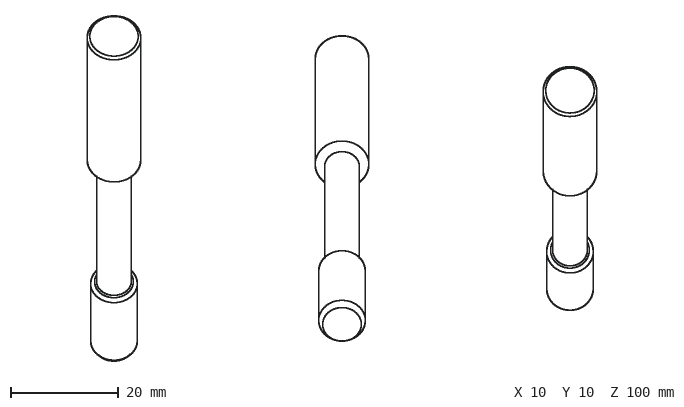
import cadquery as cq

total_length = 100.0
handle_length = 40.0
sleeve_length = 20.0

handle_radius = 5.0
shank_radius = 3.25
core_radius = 3.6
sleeve_diameter = 8.7
sleeve_radius = sleeve_diameter / 2

handle_top_chamfer = 0.5
handle_taper_height = 0.9
sleeve_taper_height = 0.8
sleeve_bottom_chamfer_height = 1.4

sleeve_taper_slope = sleeve_taper_height / (sleeve_radius - shank_radius)

handle_taper_top = total_length - handle_length
handle_taper_bottom = handle_taper_top - handle_taper_height
sleeve_inner_top = sleeve_length + (sleeve_radius - core_radius) * sleeve_taper_slope
core_taper_top = sleeve_length + sleeve_taper_height


def revolve_about_z(half_profile):
    """Turn an outline of (radius, height) points into a solid round the Z axis."""
    axis_start = (0, 0)
    axis_end = (0, 1)
    return cq.Workplane("XZ").polyline(half_profile).close().revolve(360, axis_start, axis_end)


def make_spindle():
    """Handle, slim shank and the core inside the sleeve, turned as one piece."""
    half_profile = [
        (0, 0),
        (core_radius, 0),
        (core_radius, sleeve_inner_top),
        (shank_radius, core_taper_top),
        (shank_radius, handle_taper_bottom),
        (handle_radius, handle_taper_top),
        (handle_radius, total_length - handle_top_chamfer),
        (handle_radius - handle_top_chamfer, total_length),
        (0, total_length),
    ]
    return revolve_about_z(half_profile)


def make_sleeve():
    """Ring round the core, chamfered to the core at the bottom and flush with its taper at the top."""
    half_profile = [
        (core_radius, 0),
        (sleeve_radius, sleeve_bottom_chamfer_height),
        (sleeve_radius, sleeve_length),
        (core_radius, sleeve_inner_top),
    ]
    return revolve_about_z(half_profile)


spindle = make_spindle()
sleeve = make_sleeve()

result = cq.Compound.makeCompound([spindle.val(), sleeve.val()])